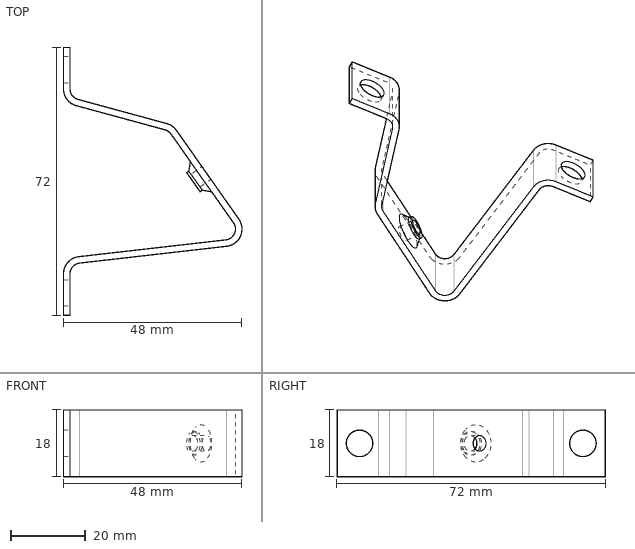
import cadquery as cq
import math

length = 72.0
width = 18.0
thickness = 1.8
inner_bend_radius = 2.9
outer_bend_radius = inner_bend_radius + thickness

upper_bend = (0, 21.25)
shoulder = (28.3, 13.5)
apex = (48.45, -15.1)
lower_bend = (0, -20.7)
open_face = [(0, length / 2), upper_bend, shoulder, apex, lower_bend, (0, -length / 2)]

hole_diameter = 7.05
hole_spacing = 60.0

boss_from_shoulder = 15.05
boss_base_diameter = 10.0
boss_tip_diameter = 6.3
cone_height = 1.8
tip_height = 0.7
bore_diameter = 4.2


def direction(start, end):
    """Unit vector from one point to another."""
    run = end[0] - start[0]
    rise = end[1] - start[1]
    size = math.hypot(run, rise)
    return run / size, rise / size


def left_normal(start, end):
    """Unit vector square to a segment, on its left-hand side."""
    along = direction(start, end)
    return -along[1], along[0]


def offset_path(path, distance):
    """Shift a polyline to its left, with mitred corners."""
    normals = [left_normal(a, b) for a, b in zip(path, path[1:])]
    before = [normals[0]] + normals
    after = normals + [normals[-1]]
    shifted = []
    for point, n1, n2 in zip(path, before, after):
        scale = distance / (1 + n1[0] * n2[0] + n1[1] * n2[1])
        shifted.append((point[0] + scale * (n1[0] + n2[0]), point[1] + scale * (n1[1] + n2[1])))
    return shifted


def round_corner(body, corner, radius):
    """Fillet the upright edge that passes through a corner of the outline."""
    edge = cq.selectors.NearestToPointSelector((*corner, 0))
    return body.edges("|Z").edges(edge).fillet(radius)


def make_strip():
    back_face = offset_path(open_face, thickness)
    outline = open_face + back_face[::-1]
    strip = cq.Workplane("XY").polyline(outline).close().extrude(width / 2, both=True)
    for front, back in zip(open_face[1:-1], back_face[1:-1]):
        at_flange = front in (upper_bend, lower_bend)
        front_radius = outer_bend_radius if at_flange else inner_bend_radius
        back_radius = inner_bend_radius if at_flange else outer_bend_radius
        strip = round_corner(strip, front, front_radius)
        strip = round_corner(strip, back, back_radius)
    return strip


def cut_mounting_holes(body):
    holes = (
        cq.Workplane("YZ")
        .pushPoints([(-hole_spacing / 2, 0), (hole_spacing / 2, 0)])
        .circle(hole_diameter / 2)
        .extrude(thickness)
    )
    return body.cut(holes)


def add_boss(body):
    along = direction(shoulder, apex)
    into_wall = left_normal(shoulder, apex)
    centre = (
        shoulder[0] + boss_from_shoulder * along[0],
        shoulder[1] + boss_from_shoulder * along[1],
        0,
    )
    base_plane = cq.Plane(
        origin=centre,
        xDir=(*along, 0),
        normal=(0, 0, -1),
    )
    boss_height = cone_height + tip_height
    half_section = [
        (0, -thickness / 2),
        (boss_base_diameter / 2, -thickness / 2),
        (boss_base_diameter / 2, 0),
        (boss_tip_diameter / 2, cone_height),
        (boss_tip_diameter / 2, boss_height),
        (0, boss_height),
    ]
    boss = cq.Workplane(base_plane).polyline(half_section).close().revolve(360, (0, 0), (0, 1))
    bore_plane = cq.Plane(origin=centre, xDir=(0, 0, 1), normal=(*into_wall, 0))
    bore = (
        cq.Workplane(bore_plane)
        .workplane(offset=-boss_height)
        .circle(bore_diameter / 2)
        .extrude(boss_height + thickness)
    )
    return body.union(boss).cut(bore)


result = add_boss(cut_mounting_holes(make_strip()))